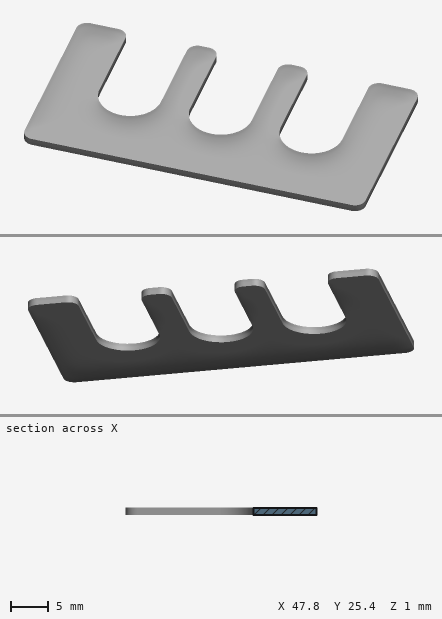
import cadquery as cq

length = 47.75
width = 25.4
thickness = 1.0
corner_radius = 1.5

slot_count = 3
slot_pitch = 12.7
slot_width = 8.6
slot_depth = 17.0


def slot_cutter(center_x):
    """Solid that cuts one open slot with a semicircular closed end."""
    radius = slot_width / 2
    edge_y = width / 2
    arc_y = edge_y - slot_depth + radius
    return (
        cq.Workplane("XY")
        .moveTo(center_x - radius, edge_y)
        .lineTo(center_x - radius, arc_y)
        .threePointArc((center_x, arc_y - radius), (center_x + radius, arc_y))
        .lineTo(center_x + radius, edge_y)
        .close()
        .extrude(thickness)
    )


plate = cq.Workplane("XY").box(length, width, thickness, centered=(True, True, False))
for index in range(slot_count):
    slot_x = (index - (slot_count - 1) / 2) * slot_pitch
    plate = plate.cut(slot_cutter(slot_x))

result = plate.faces("<Y or >Y").edges("|Z").fillet(corner_radius)